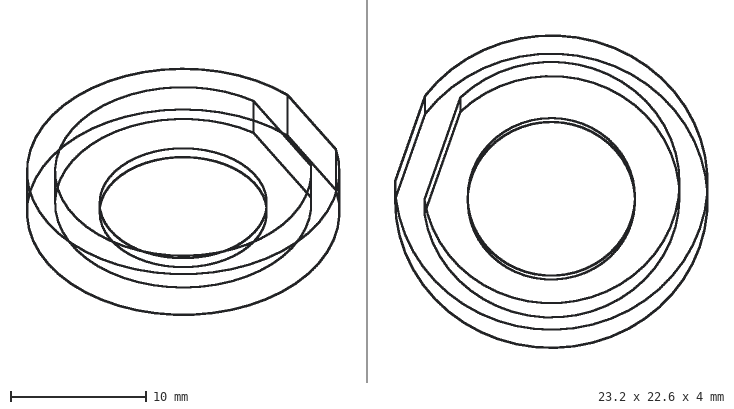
import cadquery as cq

outer_diameter = 23.15
outer_flat_offset = 11.02
height = 4.0
recess_diameter = 19.0
recess_flat_offset = 8.5
floor_thickness = 0.88
hole_diameter = 12.4


def flatted_disc(diameter, flat_offset, thickness):
    """Disc standing on Z = 0, cut straight across on its +Y side."""
    radius = diameter / 2
    disc = cq.Workplane("XY").circle(radius).extrude(thickness)
    kept_length = radius + flat_offset
    kept_region = (
        cq.Workplane("XY")
        .center(0, flat_offset - kept_length / 2)
        .rect(diameter, kept_length)
        .extrude(thickness)
    )
    return disc.intersect(kept_region)


body = flatted_disc(outer_diameter, outer_flat_offset, height)

recess_depth = height - floor_thickness
recess = flatted_disc(recess_diameter, recess_flat_offset, recess_depth)
recess = recess.translate((0, 0, floor_thickness))

hole = cq.Workplane("XY").circle(hole_diameter / 2).extrude(height)

result = body.cut(recess).cut(hole)